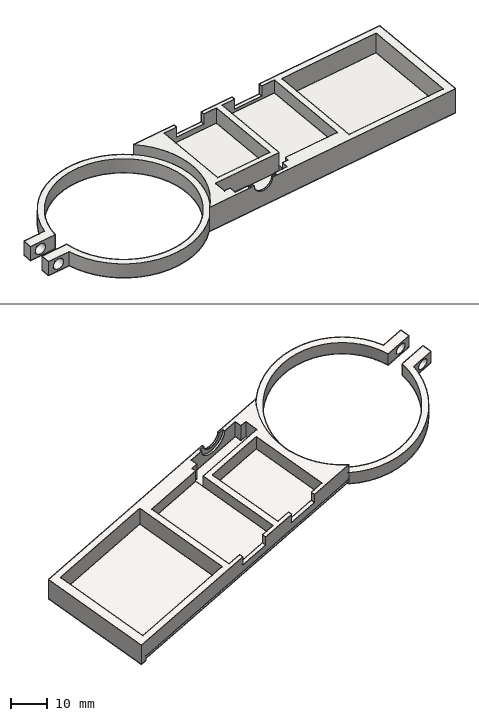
import cadquery as cq
import math

RING_DIAMETER = 47.0
RING_WALL = 2.0
RING_HEIGHT = 5.0
TAB_END_Y = -29.85
TAB_GAP = 5.1
TAB_THICKNESS = 3.0
SCREW_DIAMETER = 3.5
SCREW_END_DISTANCE = 3.4

TOTAL_LENGTH = 130.1
TRAY_WIDTH = 34.0
TRAY_HEIGHT = 8.5
RIB = 2.0
END_WALL = 2.7
SIDE_WALL = 1.2

LARGE_POCKET_WIDTH = TRAY_WIDTH - 2 * RIB
LARGE_POCKET_LENGTH = 32.1
LARGE_POCKET_DEPTH = 6.9
SMALL_POCKET_LENGTH = 17.8
MIDDLE_POCKET_WIDTH = 28.2
MIDDLE_POCKET_DEPTH = 4.5
NEAR_POCKET_WIDTH = 23.9
NEAR_POCKET_DEPTH = 5.3

SLOT_DEPTH = 6.5
SLOT_RIB = 1.5
SLOT_NARROW_WIDTH = 4.0

NOTCH_WIDTH = 9.2
NOTCH_DEPTH = 3.5
ROUND_NOTCH_INNER_RADIUS = 4.7
ROUND_NOTCH_OUTER_RADIUS = 3.1
ROUND_NOTCH_LIP = 0.5

GROOVE_RADIUS = 1.0
GROOVE_AXIS_Z = 0.9
GROOVE_END_DISTANCE = 2.0

ring_radius = RING_DIAMETER / 2
bore_radius = ring_radius - RING_WALL
tray_end_y = TAB_END_Y + TOTAL_LENGTH
tray_left = -TRAY_WIDTH / 2
tray_right = TRAY_WIDTH / 2

large_pocket_y = tray_end_y - END_WALL
middle_pocket_y = large_pocket_y - LARGE_POCKET_LENGTH - RIB
near_pocket_y = middle_pocket_y - SMALL_POCKET_LENGTH - RIB
small_pocket_left = tray_left + SIDE_WALL


def block(x_min, x_max, y_min, y_max, z_min, z_max):
    """Axis-aligned box between the given limits."""
    size = (x_max - x_min, y_max - y_min, z_max - z_min)
    return cq.Workplane("XY").box(*size, centered=False).translate((x_min, y_min, z_min))


def pocket(left, far_y, width, length, depth):
    """Rectangular cutter sunk from the top of the tray."""
    return block(left, left + width, far_y - length, far_y, TRAY_HEIGHT - depth, TRAY_HEIGHT)


def disc(radius, z_min, z_max):
    return cq.Workplane("XY").workplane(offset=z_min).circle(radius).extrude(z_max - z_min)


def make_body():
    """Tray ending at the ring, joined to the open clamp ring and its two tabs."""
    tray = block(tray_left, tray_right, 0, tray_end_y, 0, TRAY_HEIGHT)
    tray = tray.cut(disc(ring_radius, 0, TRAY_HEIGHT))
    tab_half_width = TAB_GAP / 2 + TAB_THICKNESS
    tabs = block(-tab_half_width, tab_half_width, TAB_END_Y, -bore_radius, 0, RING_HEIGHT)
    gap = block(-TAB_GAP / 2, TAB_GAP / 2, TAB_END_Y, 0, 0, RING_HEIGHT)
    clamp = disc(ring_radius, 0, RING_HEIGHT).union(tabs)
    clamp = clamp.cut(disc(bore_radius, 0, RING_HEIGHT)).cut(gap)
    return tray.union(clamp)


def make_screw_hole():
    return (
        cq.Workplane("YZ")
        .center(TAB_END_Y + SCREW_END_DISTANCE, RING_HEIGHT / 2)
        .circle(SCREW_DIAMETER / 2)
        .extrude(RING_DIAMETER / 2, both=True)
    )


def make_stepped_slot():
    """Slot with a wider middle beside the near pocket."""
    left = small_pocket_left + NEAR_POCKET_WIDTH + SLOT_RIB
    wide_width = tray_right - SIDE_WALL - left
    slot_length = SMALL_POCKET_LENGTH + 2 * RIB
    narrow = pocket(left, near_pocket_y + RIB, SLOT_NARROW_WIDTH, slot_length, SLOT_DEPTH)
    wide = pocket(left, near_pocket_y, wide_width, SMALL_POCKET_LENGTH, SLOT_DEPTH)
    return narrow.union(wide)


def make_side_notch(row_y):
    """Rectangular opening through the -X wall, centred on a small pocket."""
    far_y = row_y - (SMALL_POCKET_LENGTH - NOTCH_WIDTH) / 2
    return pocket(tray_left, far_y, SIDE_WALL, NOTCH_WIDTH, NOTCH_DEPTH)


def make_round_notch():
    """Stepped half-round opening from the slot through the +X wall, smaller at its outer face."""
    face = cq.Workplane("YZ", origin=(tray_right, near_pocket_y - SMALL_POCKET_LENGTH / 2, TRAY_HEIGHT))
    through = face.circle(ROUND_NOTCH_OUTER_RADIUS).extrude(-SIDE_WALL)
    recess = face.workplane(offset=-ROUND_NOTCH_LIP).circle(ROUND_NOTCH_INNER_RADIUS)
    return through.union(recess.extrude(ROUND_NOTCH_LIP - SIDE_WALL))


def make_edge_groove():
    """Groove open towards -X, from where the ring meets the tray side to a closed far end."""
    start_y = math.sqrt(ring_radius**2 - tray_left**2)
    return (
        cq.Workplane("XZ", origin=(tray_left, start_y, GROOVE_AXIS_Z))
        .circle(GROOVE_RADIUS)
        .extrude(start_y - (tray_end_y - GROOVE_END_DISTANCE))
    )


cutters = [
    pocket(tray_left + RIB, large_pocket_y, LARGE_POCKET_WIDTH, LARGE_POCKET_LENGTH, LARGE_POCKET_DEPTH),
    pocket(small_pocket_left, middle_pocket_y, MIDDLE_POCKET_WIDTH, SMALL_POCKET_LENGTH, MIDDLE_POCKET_DEPTH),
    pocket(small_pocket_left, near_pocket_y, NEAR_POCKET_WIDTH, SMALL_POCKET_LENGTH, NEAR_POCKET_DEPTH),
    make_stepped_slot(),
    make_side_notch(middle_pocket_y),
    make_side_notch(near_pocket_y),
    make_round_notch(),
    make_edge_groove(),
    make_screw_hole(),
]

result = make_body()
for cutter in cutters:
    result = result.cut(cutter)